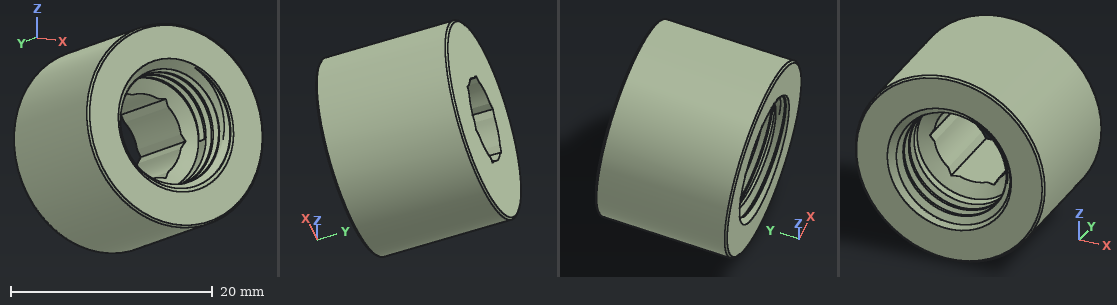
import cadquery as cq
import math

outer_diameter = 20.6
length = 14.0
edge_chamfer = 0.2
front_y = -length / 2

bore_radius = 5.73
mouth_radius = 6.74
mouth_depth = mouth_radius - bore_radius
bore_depth = 4.95
drill_half_angle = math.radians(59)

hole_radius = 4.28
hex_flats = 8.03
hex_corners = hex_flats / math.cos(math.radians(30))

thread_pitch = 1.34
thread_root_radius = 6.57
thread_half_angle = math.radians(27.5)
thread_root_flat = 0.15
thread_end_depth = 4.37
bore_overlap = 0.1


def make_body():
    body = cq.Workplane("XZ", origin=(0, length / 2, 0)).circle(outer_diameter / 2).extrude(length)
    return body.faces("|Y").edges().chamfer(edge_chamfer)


def make_bore():
    """Countersunk mouth, threaded bore, drill cone and through hole, revolved about Y."""
    cone_end_y = front_y + bore_depth + (bore_radius - hole_radius) / math.tan(drill_half_angle)
    profile = [
        (front_y, 0),
        (front_y, mouth_radius),
        (front_y + mouth_depth, bore_radius),
        (front_y + bore_depth, bore_radius),
        (cone_end_y, hole_radius),
        (length / 2, hole_radius),
        (length / 2, 0),
    ]
    return cq.Workplane("YZ").polyline(profile).close().revolve(360, (0, 0, 0), (1, 0, 0))


def make_hexagon():
    """Hexagonal prism with two corners on the X axis."""
    return cq.Workplane("XZ", origin=(0, length / 2, 0)).polygon(6, hex_corners).extrude(length)


def make_thread_groove():
    """Truncated V swept from its inner end at +X out through the mouth."""
    inner_radius = bore_radius - bore_overlap
    root_half = thread_root_flat / 2
    open_half = root_half + (thread_root_radius - inner_radius) * math.tan(thread_half_angle)
    rise = thread_end_depth + open_half
    helix = cq.Wire.makeHelix(thread_pitch, rise, bore_radius)
    groove = (
        cq.Workplane("XZ")
        .polyline([
            (inner_radius, -open_half),
            (thread_root_radius, -root_half),
            (thread_root_radius, root_half),
            (inner_radius, open_half),
        ])
        .close()
        .sweep(cq.Workplane(helix), isFrenet=True)
    )
    return groove.rotate((0, 0, 0), (1, 0, 0), 90).translate((0, front_y + thread_end_depth, 0))


result = make_body().cut(make_bore()).cut(make_hexagon()).cut(make_thread_groove())